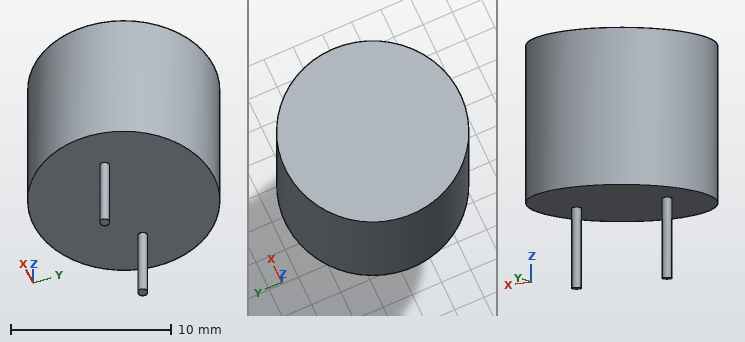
import cadquery as cq

total_height = 15.1
housing_diameter = 12.0
housing_height = 10.0
pin_diameter = 0.6
pin_spacing = 6.5

pin_length = total_height - housing_height


def make_housing():
    """Plain cylinder standing on the plane Z = 0."""
    return cq.Workplane("XY").circle(housing_diameter / 2).extrude(housing_height)


def make_pin(x):
    """Round pin hanging from the underside of the housing, centred at the given X."""
    return cq.Workplane("XY").center(x, 0).circle(pin_diameter / 2).extrude(-pin_length)


housing = make_housing()

pins = []
for side in (-1, 1):
    pins.append(make_pin(side * pin_spacing / 2))

result = cq.Compound.makeCompound([housing.val(), *[pin.val() for pin in pins]])